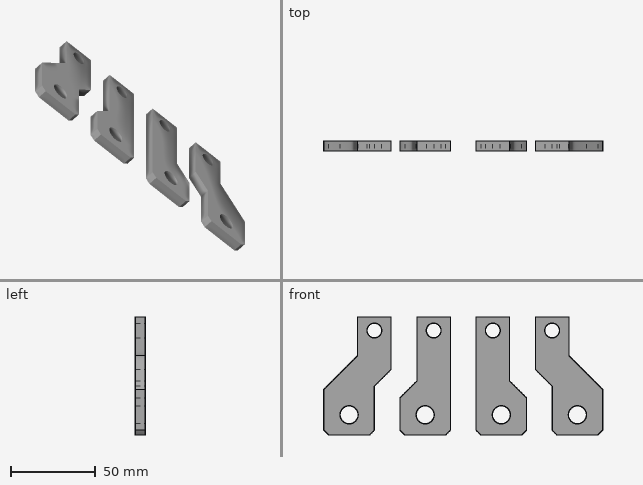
import cadquery as cq

overall_width = 165.0
height = 70.0
thickness = 6.0

foot_width = 30.0
head_width = 20.0
corner_chamfer = 3.0
foot_hole_diameter = 10.5
foot_hole_height = 12.0
head_hole_diameter = 8.5
head_hole_height = 61.9

outer_head_shift = 20.0
outer_left_slope_start = 27.0
outer_right_slope_start = 29.0
outer_left = -overall_width / 2

inner_head_shift = foot_width - head_width
inner_left_slope_start = 22.0
middle_gap = 15.0
inner_left = -middle_gap / 2 - foot_width


def drill(body, x, z, diameter):
    """Cut a through hole along Y."""
    drill_rod = (
        cq.Workplane("XZ")
        .center(x, z)
        .circle(diameter / 2)
        .extrude(thickness / 2, both=True)
    )
    return body.cut(drill_rod)


def bracket(left, points_above_foot, head_shift):
    """Plate with its foot starting at x = left; the points run from the right foot edge to the left one."""
    foot_points = [
        (0, corner_chamfer),
        (corner_chamfer, 0),
        (foot_width - corner_chamfer, 0),
        (foot_width, corner_chamfer),
    ]
    outline = [(left + x, z) for x, z in foot_points + points_above_foot]
    plate = cq.Workplane("XZ").polyline(outline).close().extrude(thickness / 2, both=True)
    plate = drill(plate, left + foot_width / 2, foot_hole_height, foot_hole_diameter)
    head_center = left + head_shift + head_width / 2
    return drill(plate, head_center, head_hole_height, head_hole_diameter)


def outer_bracket():
    """Left-hand outer bracket, sloping at 45 degrees on both edges."""
    head_right = outer_head_shift + head_width
    right_step = head_right - foot_width
    points = [
        (foot_width, outer_right_slope_start),
        (head_right, outer_right_slope_start + right_step),
        (head_right, height),
        (outer_head_shift, height),
        (outer_head_shift, outer_left_slope_start + outer_head_shift),
        (0, outer_left_slope_start),
    ]
    return bracket(outer_left, points, outer_head_shift)


def inner_bracket():
    """Left-hand inner bracket, with a 45 degree shoulder and a straight inner edge."""
    points = [
        (foot_width, height),
        (inner_head_shift, height),
        (inner_head_shift, inner_left_slope_start + inner_head_shift),
        (0, inner_left_slope_start),
    ]
    return bracket(inner_left, points, inner_head_shift)


bodies = []
for left_bracket in (outer_bracket(), inner_bracket()):
    bodies.append(left_bracket.val())
    bodies.append(left_bracket.mirror("YZ").val())

result = cq.Compound.makeCompound(bodies)